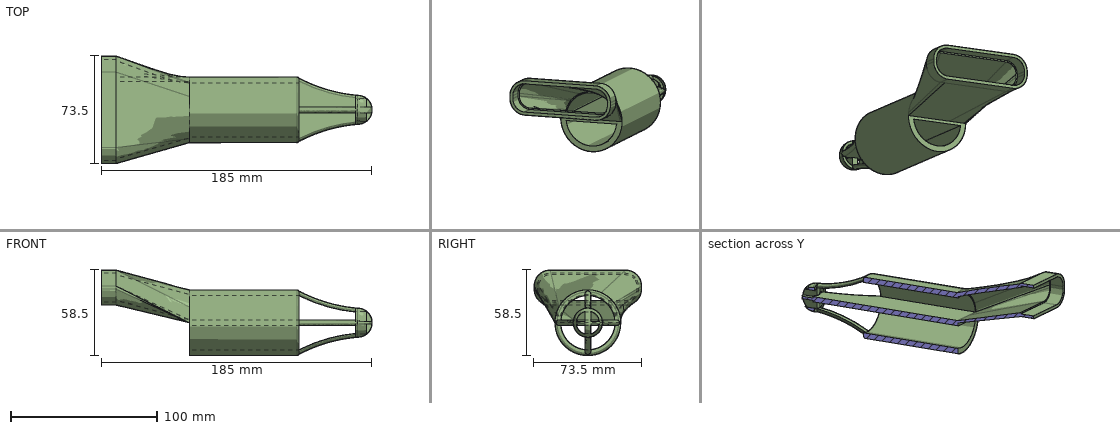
import cadquery as cq
import math

tube_radius = 22.5
tube_bore_radius = 18.5
tube_length = 75.0
tube_end_round = 1.5

inlet_width = 73.5
inlet_height = 24.0
inlet_corner_radius = 11.0
inlet_length = 10.0
inlet_wall = 2.2
inlet_centre_z = 24.0

duct_length = 50.0
duct_wall = 3.2

tip_radius = 10.0
tip_bore_radius = 7.9
tip_collar_length = 1.5
tip_level_rib = 2.0
total_length = 185.0

strut_width = 4.0
strut_flank = 1.2
strut_count = 4

plate_thickness = strut_width

tube_start = inlet_length + duct_length
tube_end = tube_start + tube_length
tip_centre_x = total_length - tip_radius
tip_start = tip_centre_x - tip_collar_length

strut_crown = [(tube_end - tube_end_round, 22.4), (150.3, 15.1), (161.1, 12.1), (tip_centre_x, tip_radius)]


def along_x(x):
    """Workplane facing +X at the given X, with local axes Y and Z."""
    return cq.Workplane("YZ", origin=(x, 0, 0))


def inlet_outline(x, inset):
    """Rounded rectangle of the inlet, shrunk by inset on every side."""
    sketch = cq.Sketch().rect(inlet_width - 2 * inset, inlet_height - 2 * inset)
    sketch = sketch.vertices().fillet(inlet_corner_radius - inset)
    return along_x(x).center(0, inlet_centre_z).placeSketch(sketch)


def inlet_sides(inset, split_y):
    """Edges of the inlet outline at the duct, as a roof chain and a floor chain.

    The roof chain runs from the lower edge at split_y, over the top, to the -Y side.
    The floor chain runs from there along the lower edge back to split_y.
    """
    half_width = inlet_width / 2 - inset
    half_height = inlet_height / 2 - inset
    corner = inlet_corner_radius - inset
    flat_y = half_width - corner
    flat_z = half_height - corner
    middle_y = flat_y + corner * math.cos(math.pi / 4)
    middle_z = flat_z + corner * math.sin(math.pi / 4)

    def point(y, z):
        return cq.Vector(inlet_length, y, inlet_centre_z + z)

    def line(start, end):
        return cq.Edge.makeLine(point(*start), point(*end))

    def arc(start, middle, end):
        return cq.Edge.makeThreePointArc(point(*start), point(*middle), point(*end))

    split = (split_y, -half_height)
    roof = [
        line(split, (flat_y, -half_height)),
        arc((flat_y, -half_height), (middle_y, -middle_z), (half_width, -flat_z)),
        line((half_width, -flat_z), (half_width, flat_z)),
        arc((half_width, flat_z), (middle_y, middle_z), (flat_y, half_height)),
        line((flat_y, half_height), (-flat_y, half_height)),
        arc((-flat_y, half_height), (-middle_y, middle_z), (-half_width, flat_z)),
    ]
    floor = [
        line((-half_width, flat_z), (-half_width, -flat_z)),
        arc((-half_width, -flat_z), (-middle_y, -middle_z), (-flat_y, -half_height)),
        line((-flat_y, -half_height), split),
    ]
    return roof, floor


def length_spans(edges):
    """Start and end of each edge as fractions of the whole chain's length."""
    total = sum(edge.Length() for edge in edges)
    spans = []
    start = 0.0
    for edge in edges:
        end = start + edge.Length() / total
        spans.append((start, end))
        start = end
    return spans


def duct_solid(inset, disc_radius, floor_z):
    """Ruled loft from the inlet outline to the part of a disc above floor_z.

    The roof chain of the inlet goes to the disc's arc and the floor chain to its chord,
    with each edge keeping its share of the length.
    """
    half_chord = math.sqrt(disc_radius**2 - floor_z**2)
    floor_angle = math.asin(floor_z / disc_radius)

    def arc_point(fraction):
        angle = floor_angle + fraction * (math.pi - 2 * floor_angle)
        return cq.Vector(tube_start, disc_radius * math.cos(angle), disc_radius * math.sin(angle))

    def chord_point(fraction):
        return cq.Vector(tube_start, half_chord * (2 * fraction - 1), floor_z)

    roof, floor = inlet_sides(inset, half_chord)
    disc_edges = []
    for start, end in length_spans(roof):
        middle = arc_point((start + end) / 2)
        disc_edges.append(cq.Edge.makeThreePointArc(arc_point(start), middle, arc_point(end)))
    for start, end in length_spans(floor):
        disc_edges.append(cq.Edge.makeLine(chord_point(start), chord_point(end)))

    inlet_wire = cq.Wire.assembleEdges(roof + floor)
    disc_wire = cq.Wire.assembleEdges(disc_edges)
    return cq.Workplane(cq.Solid.makeLoft([inlet_wire, disc_wire], True))


def make_duct():
    outer = inlet_outline(0, 0).extrude(inlet_length)
    outer = outer.union(duct_solid(0, tube_radius, 0))
    inner = inlet_outline(0, inlet_wall).extrude(inlet_length)
    inner = inner.union(duct_solid(duct_wall, tube_radius - duct_wall, plate_thickness / 2))
    return outer.cut(inner)


def make_tube():
    tube = along_x(tube_start).circle(tube_radius).extrude(tube_length)
    tube = tube.faces(">X").edges().fillet(tube_end_round)
    return tube.cut(along_x(tube_start).circle(tube_bore_radius).extrude(tube_length))


def make_strut():
    """Upper strut: a D section, rounded side outwards, swept along the crown line."""
    half_width = strut_width / 2
    path = cq.Workplane("XZ").spline(strut_crown)
    start_x, start_radius = strut_crown[0]
    side_z = -half_width
    inner_z = side_z - strut_flank
    section = (
        cq.Workplane("YZ", origin=(start_x, 0, start_radius))
        .moveTo(-half_width, inner_z)
        .lineTo(half_width, inner_z)
        .lineTo(half_width, side_z)
        .threePointArc((0, 0), (-half_width, side_z))
        .close()
    )
    return section.sweep(path)


def make_plate():
    """Divider from the tube mouth to the tip, following the strut crown on both sides."""
    crown_inset = strut_width / 2
    edge = [(x, radius - crown_inset) for x, radius in strut_crown]
    mirrored = [(x, -y) for x, y in reversed(edge)]
    mid_wall_radius = (tube_radius + tube_bore_radius) / 2
    outline = (
        cq.Workplane("XY", origin=(0, 0, -plate_thickness / 2))
        .moveTo(tube_start, mid_wall_radius)
        .lineTo(*edge[0])
        .spline(edge[1:], includeCurrent=True)
        .lineTo(*mirrored[0])
        .spline(mirrored[1:], includeCurrent=True)
        .lineTo(tube_start, -mid_wall_radius)
        .close()
    )
    return outline.extrude(plate_thickness)


def make_tip():
    """Dome with an open bore, crossed by a vertical rib and a thinner level rib."""
    half_profile = (
        cq.Workplane("XZ")
        .moveTo(tip_start, 0)
        .lineTo(tip_start, tip_radius)
        .lineTo(tip_centre_x, tip_radius)
        .radiusArc((total_length, 0), tip_radius)
        .close()
    )
    dome = half_profile.revolve(360, (0, 0, 0), (1, 0, 0))
    tip_length = total_length - tip_start
    tip_middle = ((tip_start + total_length) / 2, 0, 0)
    upright = cq.Workplane("XY").box(tip_length, strut_width, 2 * tip_radius).translate(tip_middle)
    level = cq.Workplane("XY").box(tip_length, 2 * tip_radius, tip_level_rib).translate(tip_middle)
    ribs = dome.intersect(upright.union(level))
    ring = dome.cut(along_x(tip_start).circle(tip_bore_radius).extrude(tip_length))
    return ring.union(ribs)


result = make_duct().union(make_tube()).union(make_plate()).union(make_tip())
strut = make_strut()
for index in range(strut_count):
    angle = index * 360 / strut_count
    result = result.union(strut.rotate((0, 0, 0), (1, 0, 0), angle))